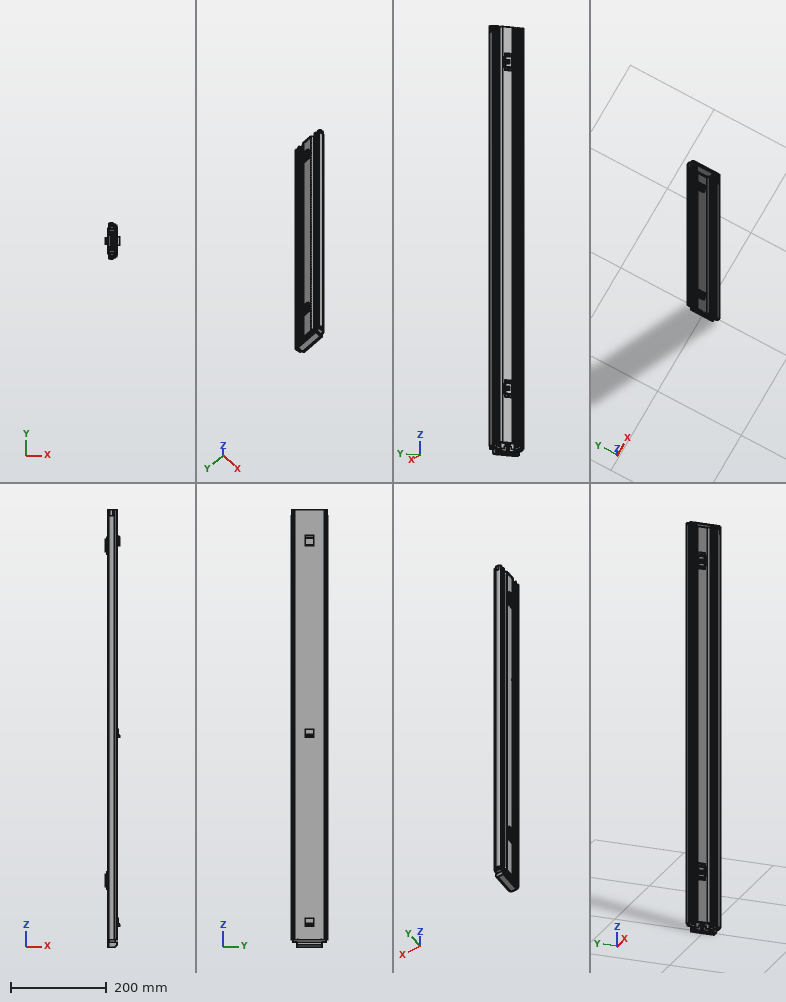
import cadquery as cq
import math

LENGTH = 914.4
WIDTH = 76.19
RAIL_DEPTH = 19.1
LANCE_HEIGHT = (30.39 - RAIL_DEPTH) / 2
SHEET = 2.0
HALF_WIDTH = WIDTH / 2

RAIL_BOTTOM = 16.2
RACEWAY_RADIUS = 7.0
RACEWAY_X = 7.2
RACEWAY_Y = HALF_WIDTH - RACEWAY_RADIUS
RACEWAY_LIP_X = 1.2
SHOULDER_Y = 34.2
SHOULDER_DROP = 1.8
CORNER_X = 18.2
CORNER_Y = 29.0
CRIMP_LENGTH = 12.5
CRIMP_DEPTH = 0.7

MIDDLE_BOTTOM = 20.0
MIDDLE_LIP_X = 0.5
MIDDLE_BACK_X = 16.6
MIDDLE_HALF_WIDTH = 28.0
MIDDLE_LIP_INNER_Y = 21.8
MIDDLE_LIP_OUTER_Y = 25.4
GROOVE_DEPTH = 1.6
GROOVE_START_X = 4.0
GROOVE_END_X = 12.5

INNER_BOTTOM = 24.5
INNER_FLAT_HALF = 11.7
INNER_SLOPE_Y = 16.5
INNER_FLANGE_Y = 20.0
BEAD_Y = (17.2, 18.6)
BEAD_HEIGHT = 1.2
BEAD_SPAN = (33.0, LENGTH - CRIMP_LENGTH)
INNER_SLOPE_X = 4.0
INNER_FLANGE_X = 12.5

BRIDGE_CENTRES = (139.5, 839.0)
BRIDGE_LENGTH = 36.0
BRIDGE_PLATE_LENGTH = 26.0
BRIDGE_HALF_WIDTH = 7.0
BRIDGE_HOLE_WIDTH = 4.5
BRIDGE_HOLE_LENGTH = 8.0
BRIDGE_FOOT_SLOT_WIDTH = 3.0

HOOK_BOTTOMS = (44.5, 439.0)
HOOK_LENGTH = 16.5
HOOK_TIP_LENGTH = 3.0
HOOK_HALF_WIDTH = 9.0
TOP_HOOK_BOTTOM = 839.0
TOP_HOOK_LENGTH = 21.5
TOP_HOOK_PLATE_LENGTH = 18.0
TOP_HOOK_GAP = 1.8

BUMPER_HALF_WIDTH = 26.2
BUMPER_HEIGHT = 11.0
BUMPER_CHAMFER = 5.0
BUMPER_LEDGE = 3.0
BUMPER_LEDGE_Y = (15.0, 24.5)
FLANGE_HALF_WIDTH = 34.5
FLANGE_X = (2.5, 15.5)
PAD_HALF_WIDTH = 16.5
PAD_DEPTH = 5.5
LATCH_BAR_X = (8.0, 11.0)
POCKET_DEPTH = 1.5
POCKET_END_Y = 15.5
LOW_POCKET_Y = 8.0
HIGH_POCKET_Y = 5.0
POCKET_RIM = 1.5
LATCH_SLOT_Y = (1.2, 3.2)
LATCH_SLOT_Z = (8.0, 21.0)
BASE_GROOVE_Z = (3.0, 5.5)
LUG_Y = (24.5, 30.5)
LUG_BOTTOM = 13.5
LUG_TOP = 19.0
LUG_PROUD = 1.0


def extrude_along_z(outline, bottom, top):
    return outline.extrude(top - bottom).translate((0, 0, bottom))


def mirrored_pair(half):
    return half.union(half.mirror("XZ"))


def box_between(x, y, z):
    block = cq.Workplane("XY").box(x[1] - x[0], y[1] - y[0], z[1] - z[0], centered=False)
    return block.translate((x[0], y[0], z[0]))


def raceway_y_at_x(radius, x):
    return RACEWAY_Y + math.sqrt(radius**2 - (x - RACEWAY_X) ** 2)


def raceway_x_at_y(radius, y):
    return RACEWAY_X + math.sqrt(radius**2 - (y - RACEWAY_Y) ** 2)


def outer_rail():
    inside = RACEWAY_RADIUS - SHEET
    shoulder_inside = SHOULDER_Y - SHEET
    lip_inside_x = RACEWAY_X - inside
    outline = (
        cq.Workplane("XY")
        .moveTo(RAIL_DEPTH, 0)
        .lineTo(RAIL_DEPTH, CORNER_Y)
        .lineTo(CORNER_X, SHOULDER_Y - SHOULDER_DROP)
        .lineTo(raceway_x_at_y(RACEWAY_RADIUS, SHOULDER_Y), SHOULDER_Y)
        .threePointArc(
            (RACEWAY_X, HALF_WIDTH),
            (RACEWAY_LIP_X, raceway_y_at_x(RACEWAY_RADIUS, RACEWAY_LIP_X)),
        )
        .lineTo(RACEWAY_LIP_X, RACEWAY_Y)
        .lineTo(lip_inside_x, RACEWAY_Y)
        .threePointArc(
            (RACEWAY_X, HALF_WIDTH - SHEET),
            (raceway_x_at_y(inside, shoulder_inside), shoulder_inside),
        )
        .lineTo(RAIL_DEPTH - SHEET, shoulder_inside - SHOULDER_DROP)
        .lineTo(RAIL_DEPTH - SHEET, 0)
        .close()
    )
    rail = mirrored_pair(extrude_along_z(outline, RAIL_BOTTOM, LENGTH))
    crimp = box_between(
        (0, RAIL_DEPTH), (HALF_WIDTH - CRIMP_DEPTH, HALF_WIDTH), (LENGTH - CRIMP_LENGTH, LENGTH)
    )
    rail = rail.cut(mirrored_pair(crimp))
    for bottom in HOOK_BOTTOMS:
        rail = rail.union(hook(bottom))
    return rail.union(top_hook())


def hook_solid(points):
    return cq.Workplane("XZ").polyline(points).close().extrude(HOOK_HALF_WIDTH, both=True)


def hook(bottom):
    neck_x = RAIL_DEPTH + LANCE_HEIGHT / 2
    tip_x = RAIL_DEPTH + LANCE_HEIGHT
    tip_top = bottom + HOOK_TIP_LENGTH
    top = bottom + HOOK_LENGTH
    return hook_solid(
        [
            (RAIL_DEPTH - SHEET, bottom),
            (tip_x, bottom),
            (tip_x, tip_top),
            (neck_x, tip_top + LANCE_HEIGHT / 2),
            (neck_x, top),
            (RAIL_DEPTH - SHEET, top),
        ]
    )


def top_hook():
    tip_x = RAIL_DEPTH + LANCE_HEIGHT
    plate_top = TOP_HOOK_BOTTOM + TOP_HOOK_PLATE_LENGTH
    top = TOP_HOOK_BOTTOM + TOP_HOOK_LENGTH
    solid = hook_solid(
        [
            (RAIL_DEPTH - SHEET, TOP_HOOK_BOTTOM),
            (tip_x, TOP_HOOK_BOTTOM),
            (tip_x, plate_top),
            (RAIL_DEPTH, top),
            (RAIL_DEPTH - SHEET, top),
        ]
    )
    gap = box_between(
        (tip_x - SHEET - TOP_HOOK_GAP, tip_x - SHEET),
        (-HOOK_HALF_WIDTH, HOOK_HALF_WIDTH),
        (TOP_HOOK_BOTTOM + SHEET, plate_top - SHEET),
    )
    return solid.cut(gap)


def middle_rail():
    groove_middle = (GROOVE_START_X + GROOVE_END_X) / 2
    inside = MIDDLE_HALF_WIDTH - SHEET
    outline = (
        cq.Workplane("XY")
        .moveTo(MIDDLE_BACK_X, 0)
        .lineTo(MIDDLE_BACK_X, MIDDLE_HALF_WIDTH)
        .lineTo(GROOVE_END_X, MIDDLE_HALF_WIDTH)
        .threePointArc(
            (groove_middle, MIDDLE_HALF_WIDTH - GROOVE_DEPTH), (GROOVE_START_X, MIDDLE_HALF_WIDTH)
        )
        .lineTo(MIDDLE_LIP_X + SHEET, MIDDLE_HALF_WIDTH)
        .lineTo(MIDDLE_LIP_X, MIDDLE_LIP_OUTER_Y)
        .lineTo(MIDDLE_LIP_X, MIDDLE_LIP_INNER_Y)
        .lineTo(MIDDLE_LIP_X + SHEET, MIDDLE_LIP_INNER_Y)
        .lineTo(MIDDLE_LIP_X + SHEET, MIDDLE_LIP_OUTER_Y)
        .lineTo(GROOVE_START_X, inside)
        .threePointArc((groove_middle, inside - GROOVE_DEPTH), (GROOVE_END_X, inside))
        .lineTo(MIDDLE_BACK_X - SHEET, inside)
        .lineTo(MIDDLE_BACK_X - SHEET, 0)
        .close()
    )
    return mirrored_pair(extrude_along_z(outline, MIDDLE_BOTTOM, LENGTH))


def inner_rail():
    outline = (
        cq.Workplane("XY")
        .lineTo(0, INNER_FLAT_HALF)
        .lineTo(INNER_SLOPE_X, INNER_SLOPE_Y)
        .lineTo(INNER_SLOPE_X, INNER_FLANGE_Y)
        .lineTo(INNER_FLANGE_X, INNER_FLANGE_Y)
        .lineTo(INNER_FLANGE_X, INNER_FLANGE_Y - SHEET)
        .lineTo(INNER_SLOPE_X + SHEET, INNER_FLANGE_Y - SHEET)
        .lineTo(INNER_SLOPE_X + SHEET, INNER_SLOPE_Y - SHEET / 2)
        .lineTo(SHEET, INNER_FLAT_HALF - SHEET / 2)
        .lineTo(SHEET, 0)
        .close()
    )
    rail = mirrored_pair(extrude_along_z(outline, INNER_BOTTOM, LENGTH))
    bead = box_between((INNER_SLOPE_X - BEAD_HEIGHT, INNER_SLOPE_X), BEAD_Y, BEAD_SPAN)
    rail = rail.union(mirrored_pair(bead))
    for centre in BRIDGE_CENTRES:
        rail = rail.cut(bridge_window(centre)).union(bridge(centre))
    return rail


def bridge_window(centre):
    half = BRIDGE_PLATE_LENGTH / 2 - SHEET
    return box_between(
        (SHEET - LANCE_HEIGHT, SHEET),
        (-BRIDGE_HALF_WIDTH, BRIDGE_HALF_WIDTH),
        (centre - half, centre + half),
    )


def centred_block(x, half_width, centre, length):
    return box_between(x, (-half_width, half_width), (centre - length / 2, centre + length / 2))


def bridge(centre):
    foot_x = (-LANCE_HEIGHT / 2, SHEET)
    plate_x = (-LANCE_HEIGHT, SHEET)
    feet = centred_block(foot_x, BRIDGE_HALF_WIDTH, centre, BRIDGE_LENGTH)
    foot_slot = centred_block((foot_x[0], 0), BRIDGE_FOOT_SLOT_WIDTH / 2, centre, BRIDGE_LENGTH)
    plate = centred_block(plate_x, BRIDGE_HALF_WIDTH, centre, BRIDGE_PLATE_LENGTH)
    hole = centred_block(plate_x, BRIDGE_HOLE_WIDTH / 2, centre, BRIDGE_HOLE_LENGTH)
    return feet.cut(foot_slot).union(plate).cut(bridge_window(centre)).cut(hole)


def bumper():
    base = (
        cq.Workplane("XZ")
        .polyline(
            [
                (0, 0),
                (RAIL_DEPTH - BUMPER_CHAMFER, 0),
                (RAIL_DEPTH, BUMPER_CHAMFER),
                (RAIL_DEPTH, BUMPER_HEIGHT),
                (0, BUMPER_HEIGHT),
            ]
        )
        .close()
        .extrude(BUMPER_HALF_WIDTH, both=True)
    )
    pad_y = (-PAD_HALF_WIDTH, PAD_HALF_WIDTH)
    flange_z = (BUMPER_HEIGHT, RAIL_BOTTOM)
    flange = box_between(FLANGE_X, (-FLANGE_HALF_WIDTH, FLANGE_HALF_WIDTH), flange_z)
    pad = box_between((0, PAD_DEPTH), pad_y, (BUMPER_HEIGHT, INNER_BOTTOM))
    latch_bar = box_between(LATCH_BAR_X, pad_y, (RAIL_BOTTOM, INNER_BOTTOM))
    lug = box_between((FLANGE_X[0] - LUG_PROUD, FLANGE_X[1]), LUG_Y, (LUG_BOTTOM, LUG_TOP))
    body = base.union(flange).union(pad).union(latch_bar).union(mirrored_pair(lug))

    pocket_x = (0, POCKET_DEPTH)
    ledge = box_between(pocket_x, BUMPER_LEDGE_Y, (BUMPER_HEIGHT - BUMPER_LEDGE, BUMPER_HEIGHT))
    low_pocket = box_between(pocket_x, (LOW_POCKET_Y, POCKET_END_Y), flange_z)
    high_pocket = box_between(
        pocket_x, (HIGH_POCKET_Y, POCKET_END_Y), (RAIL_BOTTOM, INNER_BOTTOM - POCKET_RIM)
    )
    latch_slot = box_between(pocket_x, LATCH_SLOT_Y, LATCH_SLOT_Z)
    for pocket in (ledge, low_pocket, high_pocket, latch_slot):
        body = body.cut(mirrored_pair(pocket))
    base_groove = box_between(pocket_x, (-BUMPER_HALF_WIDTH, BUMPER_HALF_WIDTH), BASE_GROOVE_Z)
    return body.cut(base_groove)


outer = outer_rail()
middle = middle_rail()
inner = inner_rail()
end_bumper = bumper()

bodies = (outer, middle, inner, end_bumper)
result = cq.Compound.makeCompound([body.solids().val() for body in bodies])